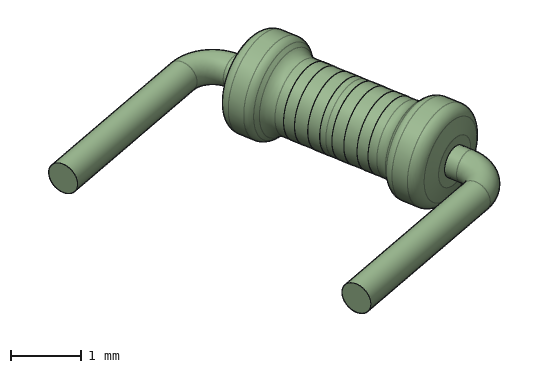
import cadquery as cq
import math

overall_length = 5.56
overall_depth = 4.3

body_half_length = 1.805
cap_radius = 1.6 / 2
tube_radius = 1.2 / 2
end_face_radius = 0.4
end_cone_x = 1.735
end_cone_radius = 0.655
cap_outer_x = 1.545
cap_inner_x = 1.28

shoulder_angle = math.radians(45)
shoulder_convex_radius = 0.19
shoulder_concave_radius = 0.295

band_radius = 1.205 / 2
inner_band = (0.105, 0.31)
outer_band = (0.54, 0.73)

wire_radius = 0.5 / 2
bend_radius = 0.515
leg_x = overall_length / 2 - wire_radius
leg_end_y = cap_radius - overall_depth

arc_drop_factor = 1 - math.cos(shoulder_angle)
convex_end_x = cap_inner_x - shoulder_convex_radius * math.sin(shoulder_angle)
convex_end_radius = cap_radius - shoulder_convex_radius * arc_drop_factor
concave_start_radius = tube_radius + shoulder_concave_radius * arc_drop_factor
slope_length = (convex_end_radius - concave_start_radius) / math.tan(shoulder_angle)
concave_start_x = convex_end_x - slope_length
tube_end_x = concave_start_x - shoulder_concave_radius * math.sin(shoulder_angle)


def make_half_body():
    """Solid of revolution from the middle of the tube to the +X end face."""
    outline = (
        cq.Workplane("XY")
        .lineTo(0, tube_radius)
        .lineTo(tube_end_x, tube_radius)
        .tangentArcPoint((concave_start_x, concave_start_radius), relative=False)
        .lineTo(convex_end_x, convex_end_radius)
        .tangentArcPoint((cap_inner_x, cap_radius), relative=False)
        .lineTo(cap_outer_x, cap_radius)
        .tangentArcPoint((end_cone_x, end_cone_radius), relative=False)
        .lineTo(body_half_length, end_face_radius)
        .lineTo(body_half_length, 0)
        .close()
    )
    half_body = outline.revolve(360, (0, 0, 0), (1, 0, 0))
    for band_start, band_end in (inner_band, outer_band):
        band_plane = cq.Workplane("YZ", origin=(band_start, 0, 0))
        band = band_plane.circle(band_radius).extrude(band_end - band_start)
        half_body = half_body.union(band)
    return half_body


def make_body():
    half_body = make_half_body()
    return half_body.union(half_body.mirror("YZ"))


def make_lead(side):
    """Wire from a body end face, bent towards -Y; side is +1 for +X, -1 for -X."""
    path = (
        cq.Workplane("XY")
        .moveTo(side * body_half_length, 0)
        .lineTo(side * (leg_x - bend_radius), 0)
        .tangentArcPoint((side * leg_x, -bend_radius), relative=False)
        .lineTo(side * leg_x, leg_end_y)
    )
    section = cq.Workplane("YZ", origin=(side * body_half_length, 0, 0)).circle(wire_radius)
    return section.sweep(path)


body = make_body()
leads = [make_lead(side) for side in (-1, 1)]

result = cq.Compound.makeCompound([body.val(), *[lead.val() for lead in leads]])